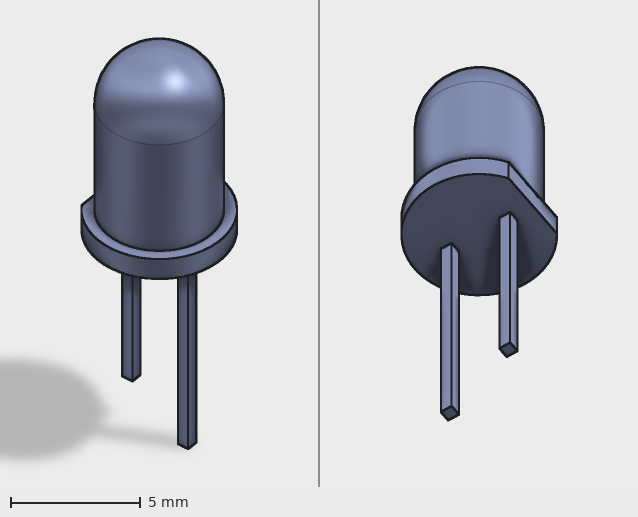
import cadquery as cq

total_height = 18.8

lens_radius = 2.5
flange_diameter = 6.0
flange_height = 1.0
long_lead_length = 10.0
short_lead_length = 8.0
dome_base_z = total_height - long_lead_length - lens_radius

lead_width = 0.5
lead_spacing = 2.73


def make_lens():
    """Domed lens with its flange, the flat being tangent to the lens at -X."""
    flange = cq.Workplane("XY").circle(flange_diameter / 2).extrude(flange_height)
    flat_cutter = cq.Workplane("XY").box(
        flange_diameter, flange_diameter, flange_height, centered=(True, True, False)
    ).translate((-lens_radius - flange_diameter / 2, 0, 0))
    domed_cylinder = (
        cq.Workplane("XZ")
        .lineTo(lens_radius, 0)
        .lineTo(lens_radius, dome_base_z)
        .radiusArc((0, dome_base_z + lens_radius), -lens_radius)
        .close()
        .revolve(360, (0, 0, 0), (0, 1, 0))
    )
    return flange.cut(flat_cutter).union(domed_cylinder).solids()


def make_lead(x, length):
    """Square lead centred at x, running down from the flange."""
    return cq.Workplane("XY").center(x, 0).rect(lead_width, lead_width).extrude(-length)


lens = make_lens()
leads = [
    make_lead(x, length)
    for x, length in (
        (-lead_spacing / 2, short_lead_length),
        (lead_spacing / 2, long_lead_length),
    )
]

result = cq.Compound.makeCompound([lens.val(), *(lead.val() for lead in leads)])